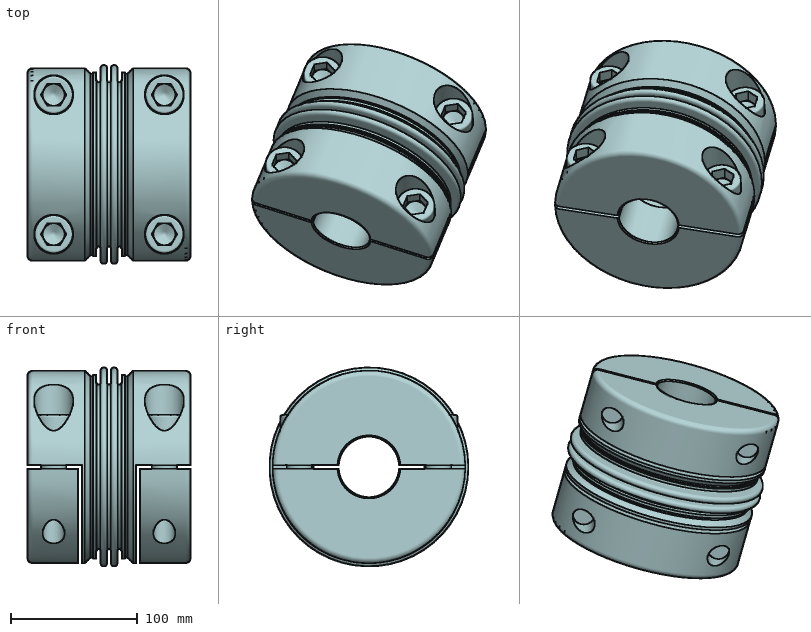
import cadquery as cq
import math


half_length = 64.4
hub_radius = 152.0 / 2
hub_rim_fillet = 4.2
bore_radius = 47.5 / 2
bore_chamfer = 1.1
hub_taper_start = 19.0
neck_radius = 143.2 / 2
neck_start = hub_taper_start - (hub_radius - neck_radius)
cavity_radius = 87.3 / 2

crest_outer_radius = 157.0 / 2
crest_round = 2.7
root_round = 1.4
root_radius = 64.8
collar_radius = 145.0 / 2
collar_bevel_start = 13.2
collar_outer_face = 12.5
collar_inner_face = 10.2

slit_width = 3.0
slit_end = 21.4
jaw_face = slit_end + slit_width

screw_x = 43.6
screw_y = 55.0
shank_radius = 20.0 / 2
shank_end_z = -34.5
clearance_radius = 21.0 / 2
thread_hole_radius = 17.3 / 2
head_radius = 30.0 / 2
head_height = 20.0
head_top_z = 41.0
head_seat_z = head_top_z - head_height
head_fillet = 1.9
counterbore_radius = 31.0 / 2
socket_across_flats = 17.3
socket_depth = 10.0
socket_point_angle = 120.0


def z_cylinder(radius, bottom, top, y):
    """Cylinder parallel to Z at the screw's X position."""
    return cq.Workplane("XY", origin=(screw_x, y, bottom)).circle(radius).extrude(top - bottom)


def hub_ring():
    """Hub, neck and bellows collar on the +X side, before the slit and screws."""
    rim_centre_x = half_length - hub_rim_fillet
    rim_centre_r = hub_radius - hub_rim_fillet
    rim_mid = hub_rim_fillet * math.sqrt(0.5)
    profile = (
        cq.Workplane("XY")
        .moveTo(collar_inner_face, cavity_radius)
        .lineTo(collar_inner_face, collar_radius)
        .lineTo(collar_outer_face, collar_radius)
        .lineTo(collar_bevel_start, neck_radius)
        .lineTo(neck_start, neck_radius)
        .lineTo(hub_taper_start, hub_radius)
        .lineTo(rim_centre_x, hub_radius)
        .threePointArc((rim_centre_x + rim_mid, rim_centre_r + rim_mid), (half_length, rim_centre_r))
        .lineTo(half_length, bore_radius + bore_chamfer)
        .lineTo(half_length - bore_chamfer, bore_radius)
        .lineTo(slit_end, bore_radius)
        .lineTo(slit_end, cavity_radius)
        .close()
    )
    return profile.revolve(360, (0, 0, 0), (1, 0, 0))


def bellows():
    """Two round-topped crests between three round-bottomed roots, spanning collar to collar."""
    root_rim = root_radius + root_round
    crest_rim = crest_outer_radius - crest_round
    pitch = 2 * (root_round + crest_round)

    profile = (
        cq.Workplane("XY")
        .moveTo(-collar_inner_face, cavity_radius)
        .lineTo(-collar_inner_face, root_rim)
    )
    for root_x in (-pitch, 0, pitch):
        root_end = root_x + root_round
        profile = profile.lineTo(root_x - root_round, root_rim)
        profile = profile.threePointArc((root_x, root_radius), (root_end, root_rim))
        if root_x < pitch:
            crest_x = root_x + pitch / 2
            profile = profile.lineTo(root_end, crest_rim)
            profile = profile.threePointArc(
                (crest_x, crest_outer_radius),
                (crest_x + crest_round, crest_rim),
            )
    profile = profile.lineTo(collar_inner_face, root_rim).lineTo(collar_inner_face, cavity_radius)
    return profile.close().revolve(360, (0, 0, 0), (1, 0, 0))


def clamping_slit():
    """Horizontal cut between the jaws and the cut that frees the lower jaw from the hub."""
    full_width = 2 * crest_outer_radius
    horizontal = cq.Workplane("XY").box(
        half_length - slit_end, full_width, slit_width, centered=(False, True, True)
    )
    vertical = cq.Workplane("XY").box(
        jaw_face - slit_end, full_width, crest_outer_radius, centered=(False, True, False)
    )
    vertical = vertical.translate((0, 0, -crest_outer_radius))
    return horizontal.union(vertical).translate((slit_end, 0, 0))


def screw_hole(y):
    """Counterbore and clearance hole in the upper jaw, thread hole through the lower jaw."""
    counterbore = z_cylinder(counterbore_radius, head_seat_z, crest_outer_radius, y)
    clearance = z_cylinder(clearance_radius, 0, head_seat_z, y)
    thread = z_cylinder(thread_hole_radius, -crest_outer_radius, 0, y)
    return counterbore.union(clearance).union(thread)


def screw(y):
    """Socket head screw with a hexagon socket ending in a drill point."""
    head = z_cylinder(head_radius, head_seat_z, head_top_z, y).faces(">Z").edges().fillet(head_fillet)
    shank = z_cylinder(shank_radius, shank_end_z, head_seat_z, y)

    socket_floor_z = head_top_z - socket_depth
    across_corners = socket_across_flats / math.cos(math.radians(30))
    socket = (
        cq.Workplane("XY", origin=(screw_x, y, socket_floor_z))
        .polygon(6, across_corners)
        .extrude(socket_depth)
    )
    point_radius = socket_across_flats / 2
    point_depth = point_radius / math.tan(math.radians(socket_point_angle / 2))
    point_tip = cq.Vector(screw_x, y, socket_floor_z - point_depth)
    drill_point = cq.Solid.makeCone(0, point_radius, point_depth, point_tip)
    return head.union(shank).cut(socket).cut(drill_point)


hub = hub_ring().cut(clamping_slit())
for y in (-screw_y, screw_y):
    hub = hub.cut(screw_hole(y)).union(screw(y))

result = bellows().union(hub).union(hub.mirror("YZ"))